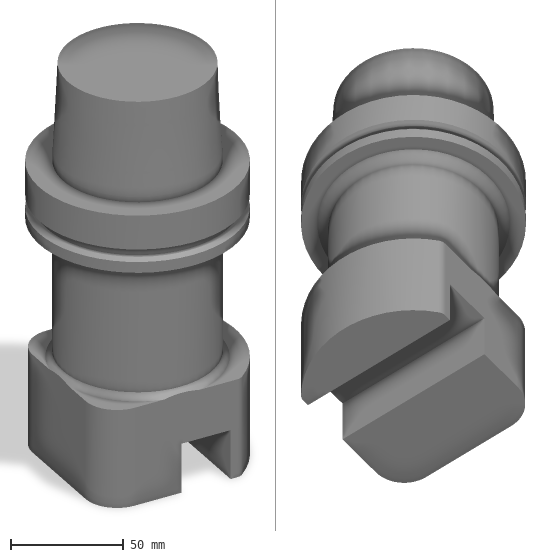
import cadquery as cq
import math

total_height = 200.0
block_height = 50.0
shaft_bottom = 53.0
shaft_top = 116.0
flange_bottom = 120.8
flange_top = 150.0
groove_bottom = 127.5
groove_top = 131.5
taper_start = 152.5

shaft_radius = 76.0 / 2
flange_radius = 100.0 / 2
groove_radius = 92.0 / 2
taper_base_radius = 75.8 / 2
taper_top_radius = 35.5
groove_chamfer_height = 1.3
groove_chamfer_width = 2.5

lower_cone_radius = shaft_radius + shaft_bottom - block_height
upper_cone_radius = shaft_radius + flange_bottom - shaft_top

block_half_width = 40.0
front_corner_radius = 16.0
back_corner_radius = 5.0
slot_width = 25.0
slot_height = 25.0


def make_turned_body():
    """Shaft, grooved flange and top taper as one revolved profile."""
    groove_edge_radius = flange_radius - groove_chamfer_width
    profile = [
        (0, block_height),
        (lower_cone_radius, block_height),
        (shaft_radius, shaft_bottom),
        (shaft_radius, shaft_top),
        (upper_cone_radius, flange_bottom),
        (flange_radius, flange_bottom),
        (flange_radius, groove_bottom - groove_chamfer_height),
        (groove_edge_radius, groove_bottom),
        (groove_radius, groove_bottom),
        (groove_radius, groove_top),
        (groove_edge_radius, groove_top),
        (flange_radius, groove_top + groove_chamfer_height),
        (flange_radius, flange_top),
        (taper_base_radius, flange_top),
        (taper_base_radius, taper_start),
        (taper_top_radius, total_height),
        (0, total_height),
    ]
    return cq.Workplane("XZ").polyline(profile).close().revolve(360, (0, 0), (0, 1))


def make_block_prism(height):
    """Block outline extruded upward, with its vertical corners rounded."""
    side_end_y = math.sqrt(flange_radius**2 - block_half_width**2)
    prism = (
        cq.Workplane("XY")
        .moveTo(-block_half_width, -block_half_width)
        .lineTo(block_half_width, -block_half_width)
        .lineTo(block_half_width, side_end_y)
        .threePointArc((0, flange_radius), (-block_half_width, side_end_y))
        .close()
        .extrude(height)
    )
    prism = prism.edges("|Z and <Y").fillet(front_corner_radius)
    return prism.edges("|Z").edges(
        cq.selectors.BoxSelector(
            (-flange_radius, side_end_y - back_corner_radius / 10, -2),
            (flange_radius, side_end_y + back_corner_radius / 10, height + 2),
        )
    ).fillet(back_corner_radius)


def trim_lower_cone(body):
    """Cut the lower cone back flush with the flat block faces."""
    cone_height = shaft_bottom - block_height
    blank = (
        cq.Workplane("XY", origin=(0, 0, block_height))
        .circle(flange_radius)
        .extrude(cone_height)
    )
    return body.cut(blank.cut(make_block_prism(shaft_bottom)))


def trim_upper_cone(body):
    """Cut the front of the cone under the flange flush with the block front."""
    cutter = cq.Workplane("XY", origin=(0, -block_half_width, shaft_top)).box(
        2 * flange_radius,
        flange_radius,
        flange_bottom - shaft_top,
        centered=(True, True, False),
    ).translate((0, -flange_radius / 2, 0))
    return body.cut(cutter)


def make_slot():
    """Rectangular slot through the block along X, from the axis toward the back."""
    return cq.Workplane("XY").box(
        2 * flange_radius, slot_width, slot_height, centered=(True, False, False)
    )


turned_body = trim_upper_cone(trim_lower_cone(make_turned_body()))
result = turned_body.union(make_block_prism(block_height)).cut(make_slot())